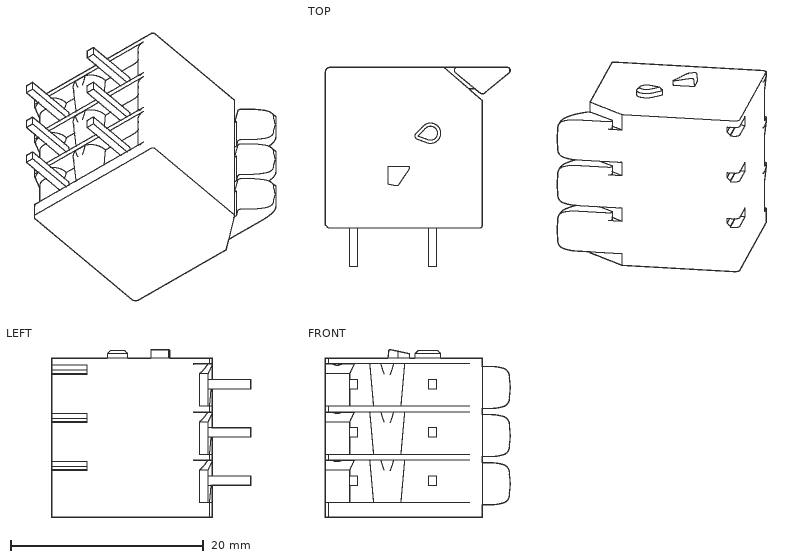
import cadquery as cq
import math

housing_x = 16.31
housing_y = 16.7
housing_z = 16.52
back_corner_radius = 0.52
front_left_chamfer = 0.33
front_right_radius = 0.27
slant_x = 4.0
slant_y = 3.45

pole_count = 3
pole_span = 10.0
pole_pitch = pole_span / (pole_count - 1)

pocket_right = 14.99
pocket_depth = 1.95
pocket_base = 1.53
pocket_height = 4.4
s_wall_left = 12.1

post_x = 1.25
post_y = 1.75
post_radius = 1.3
flare_radius = 1.78
flare_base = 3.37
flare_gap = 0.05
post_setback = 0.05

taper_x = 6.44
taper_y = 1.74
taper_base_radius = 1.43
taper_top_radius = 1.82

overall_y = 20.7
pin_length = overall_y - housing_y
pin_x = 0.85
pin_z = 1.0
pin_root = 0.83
pin_centers_x = (2.94, 11.14)
pin_center_z = 3.8

slot_base = 4.85
slot_height = 0.95
slot_length = 3.7
slot_depth = 1.25
slot_ramp = 0.33
slot_ramp_foot = 0.1

lever_end = 19.2
lever_center_x = 16.31
lever_half_width = 3.5
lever_depth = 2.88
lever_corner_radius = 0.33
lever_center_z = 3.48
lever_half_height = 2.2
lever_flat_end = 17.25
lever_shoulder_x = 18.38
lever_shoulder_drop = 0.17
lever_end_half_height = 0.97
lever_end_bulge = 0.08
lever_corner_bulge = 0.2

web_y = 2.25

drop_x = 10.93
drop_y = 9.85
drop_radius = 1.05
drop_tip_x = 9.67
drop_tip_y = 9.56
drop_tip_radius = 0.35
drop_height = 0.8
drop_chamfer = 0.33

wedge_left = 6.5
wedge_right = 8.9
wedge_back = 6.4
wedge_left_front = 4.57
wedge_front = 4.4
wedge_front_left = 7.3
wedge_front_right = 7.55
wedge_high = 0.93
wedge_low = 0.43
wedge_lean = 0.1
wedge_peak_radius = 0.19
wedge_corner_radius = 0.15


def box(x0, x1, y0, y1, z0, z1):
    return cq.Workplane("XY").box(x1 - x0, y1 - y0, z1 - z0, centered=False).translate((x0, y0, z0))


def make_housing():
    block = box(0, housing_x, 0, housing_y, 0, housing_z)
    block = block.edges("|Z and <X and >Y").fillet(back_corner_radius)
    block = block.edges("|Z and <X and <Y").chamfer(front_left_chamfer)
    block = block.edges("|Z and >X and <Y").fillet(front_right_radius)
    return block.edges("|Z and >X and >Y").chamfer(slant_y, slant_x)


def make_pocket(base):
    """Pocket whose right wall is an S of two equal tangent arcs."""
    half_x = (pocket_right - s_wall_left) / 2
    half_y = pocket_depth / 2
    middle_x = s_wall_left + half_x
    arc_radius = (half_x**2 + half_y**2) / pocket_depth
    half_sweep = math.asin(half_x / arc_radius) / 2
    arc_x = arc_radius * math.sin(half_sweep)
    arc_y = arc_radius * (1 - math.cos(half_sweep))
    return (
        cq.Workplane("XY", origin=(0, 0, base))
        .moveTo(0, 0)
        .lineTo(0, pocket_depth)
        .lineTo(s_wall_left, pocket_depth)
        .threePointArc((s_wall_left + arc_x, pocket_depth - arc_y), (middle_x, half_y))
        .threePointArc((pocket_right - arc_x, arc_y), (pocket_right, 0))
        .close()
        .extrude(pocket_height)
    )


def make_posts(base):
    """Flared and tapered posts, trimmed to the pocket's bounds."""
    flare_top = pocket_height - flare_gap
    flared = (
        cq.Workplane("XZ", origin=(post_x, post_y, base))
        .polyline([
            (0, 0),
            (post_radius, 0),
            (post_radius, flare_base),
            (flare_radius, flare_top),
            (0, flare_top),
        ])
        .close()
        .revolve(360, (0, 0, 0), (0, 1, 0))
    )
    tapered = (
        cq.Workplane("XY", origin=(taper_x, taper_y, base))
        .circle(taper_base_radius)
        .workplane(offset=pocket_height)
        .circle(taper_top_radius)
        .loft()
    )
    bounds = box(0, pocket_right, post_setback, housing_y / 2, base, base + pocket_height)
    return flared.union(tapered).intersect(bounds)


def make_pins(level):
    pins = cq.Workplane("XY")
    for center_x in pin_centers_x:
        pins = pins.union(box(
            center_x - pin_x / 2, center_x + pin_x / 2,
            -pin_length, pocket_depth + pin_root,
            level - pin_z / 2, level + pin_z / 2,
        ))
    return pins


def make_slot(base):
    """Slot whose inner wall ends in a ramp standing on a short step."""
    ramp_start = slot_depth - slot_ramp
    return (
        cq.Workplane("XZ", origin=(0, housing_y, base))
        .polyline([
            (0, 0),
            (ramp_start, 0),
            (ramp_start, slot_ramp_foot),
            (slot_depth, slot_ramp_foot + slot_ramp),
            (slot_depth, slot_height),
            (0, slot_height),
        ])
        .close()
        .extrude(slot_length)
    )


def make_lever(level):
    plan = (
        cq.Workplane("XY", origin=(lever_center_x, housing_y, level - lever_half_height))
        .polyline([(-lever_half_width, 0), (lever_half_width, 0), (0, -lever_depth)])
        .close()
        .extrude(2 * lever_half_height)
        .edges("|Z")
        .fillet(lever_corner_radius)
    )
    end_x = lever_end - lever_end_bulge
    shoulder_z = lever_half_height - lever_shoulder_drop
    flat_mid_x = (lever_flat_end + lever_shoulder_x) / 2
    flat_mid_z = lever_half_height - lever_shoulder_drop / 4
    corner_x = (lever_shoulder_x + end_x) / 2 + lever_corner_bulge * (shoulder_z - lever_end_half_height)
    corner_z = (shoulder_z + lever_end_half_height) / 2 + lever_corner_bulge * (end_x - lever_shoulder_x)
    left_x = lever_center_x - lever_half_width
    tab = (
        cq.Workplane("XZ", origin=(0, 0, level))
        .moveTo(left_x, -lever_half_height)
        .lineTo(left_x, lever_half_height)
        .lineTo(lever_flat_end, lever_half_height)
        .threePointArc((flat_mid_x, flat_mid_z), (lever_shoulder_x, shoulder_z))
        .threePointArc((corner_x, corner_z), (end_x, lever_end_half_height))
        .threePointArc((lever_end, 0), (end_x, -lever_end_half_height))
        .threePointArc((corner_x, -corner_z), (lever_shoulder_x, -shoulder_z))
        .threePointArc((flat_mid_x, -flat_mid_z), (lever_flat_end, -lever_half_height))
        .close()
        .extrude(-housing_y)
    )
    return plan.intersect(tab)


def make_teardrop():
    """Peg outlined by two circles joined by their common tangents."""
    axis_x = drop_x - drop_tip_x
    axis_y = drop_y - drop_tip_y
    axis_angle = math.atan2(axis_y, axis_x)
    tangent_angle = math.acos((drop_tip_radius - drop_radius) / math.hypot(axis_x, axis_y))

    def on_big(angle):
        return (drop_x + drop_radius * math.cos(angle), drop_y + drop_radius * math.sin(angle))

    def on_tip(angle):
        return (drop_tip_x + drop_tip_radius * math.cos(angle),
                drop_tip_y + drop_tip_radius * math.sin(angle))

    upper = axis_angle + tangent_angle
    lower = axis_angle - tangent_angle
    outline = (
        cq.Workplane("XY", origin=(0, 0, housing_z))
        .moveTo(*on_big(lower))
        .threePointArc(on_big(axis_angle), on_big(upper))
        .lineTo(*on_tip(upper))
        .threePointArc(on_tip(axis_angle + math.pi), on_tip(lower))
        .close()
    )
    return outline.extrude(drop_height).faces(">Z").chamfer(drop_chamfer)


def make_wedge():
    plan = (
        cq.Workplane("XY", origin=(0, 0, housing_z))
        .polyline([
            (wedge_left, wedge_back),
            (wedge_right, wedge_back),
            (wedge_front_right, wedge_front),
            (wedge_front_left, wedge_front),
            (wedge_left, wedge_left_front),
        ])
        .close()
        .extrude(wedge_high)
        .edges("|Z and >X")
        .fillet(wedge_corner_radius)
    )
    side = (
        cq.Workplane("XZ", origin=(0, 0, housing_z))
        .polyline([
            (wedge_left, 0),
            (wedge_left + wedge_lean, wedge_high),
            (wedge_right, wedge_low),
            (wedge_right, 0),
        ])
        .close()
        .extrude(-housing_y)
        .edges("|Y and >Z")
        .fillet(wedge_peak_radius)
    )
    return plan.intersect(side)


result = make_housing()
for pole in range(pole_count):
    pole_z = pole * pole_pitch
    lever_level = pole_z + lever_center_z
    web = box(
        housing_x - slant_x, lever_center_x,
        housing_y - web_y, housing_y,
        lever_level - lever_half_height, pole_z + slot_base,
    )
    result = result.cut(make_pocket(pole_z + pocket_base))
    result = result.cut(make_slot(pole_z + slot_base))
    result = result.union(make_posts(pole_z + pocket_base))
    result = result.union(make_pins(pole_z + pin_center_z))
    result = result.union(web)
    result = result.union(make_lever(lever_level))
result = result.union(make_teardrop()).union(make_wedge())